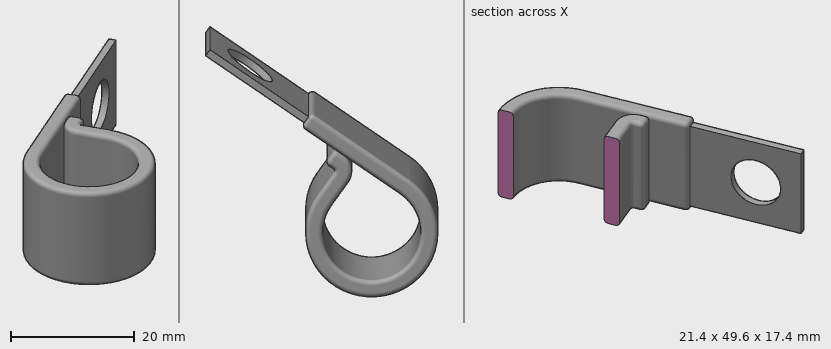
import cadquery as cq
import math

bore_diameter = 15.875
strap_width = 15.875
strap_thickness = 1.245
coating = 0.762
tail_end_y = 38.862
coating_end_y = 19.4
hole_diameter = 8.73
hole_end_distance = strap_width / 2
hook_radius = 3.175
hook_straight = 1.65
hook_gap = 0.02

coated_thickness = strap_thickness + 2 * coating
coated_width = strap_width + 2 * coating

inner_radius = bore_diameter / 2
outer_radius = inner_radius + coated_thickness

hook_inner_radius = hook_radius - coated_thickness
hook_outer_x = -inner_radius + hook_gap
hook_inner_x = hook_outer_x + coated_thickness
hook_center_x = hook_outer_x + hook_radius
hook_center_y = inner_radius + hook_radius
hook_end_y = hook_center_y + hook_straight

tail_x = -outer_radius + coating
tail_root_y = coating_end_y - 2 * coating
tail_length = tail_end_y - tail_root_y


def loop_middle(radius):
    """Midpoint of the three-quarter arc around the loop axis."""
    offset = radius * math.sqrt(0.5)
    return offset, -offset


def bend_middle(radius):
    """Midpoint of the quarter bend where the loop turns up into the hook."""
    offset = radius * math.sqrt(0.5)
    return hook_center_x - offset, hook_center_y - offset


def make_coated_loop():
    """Coated leg, loop and hook, with both ends and all long edges rounded."""
    body = (
        cq.Workplane("XY", origin=(0, 0, -coated_width / 2))
        .moveTo(-outer_radius, coating_end_y)
        .lineTo(-outer_radius, 0)
        .threePointArc(loop_middle(outer_radius), (0, outer_radius))
        .lineTo(hook_center_x, outer_radius)
        .threePointArc(bend_middle(hook_inner_radius), (hook_inner_x, hook_center_y))
        .lineTo(hook_inner_x, hook_end_y)
        .lineTo(hook_outer_x, hook_end_y)
        .lineTo(hook_outer_x, hook_center_y)
        .threePointArc(bend_middle(hook_radius), (hook_center_x, inner_radius))
        .lineTo(0, inner_radius)
        .threePointArc(loop_middle(inner_radius), (-inner_radius, 0))
        .lineTo(-inner_radius, coating_end_y)
        .close()
        .extrude(coated_width)
    )
    end_faces = body.faces("+Y").faces(">Y or >Y[-2]")
    rounded_ends = end_faces.edges("|Z").fillet(coating)
    return rounded_ends.faces("<Z or >Z").edges().fillet(coating)


def make_tail():
    """Bare strap end with its mounting hole, rooted inside the coated leg."""
    tail = (
        cq.Workplane("XY", origin=(tail_x, tail_root_y, 0))
        .box(strap_thickness, tail_length, strap_width, centered=(False, False, True))
    )
    hole = (
        cq.Workplane("YZ", origin=(tail_x, tail_end_y - hole_end_distance, 0))
        .circle(hole_diameter / 2)
        .extrude(strap_thickness)
    )
    return tail.cut(hole)


result = make_coated_loop().union(make_tail())